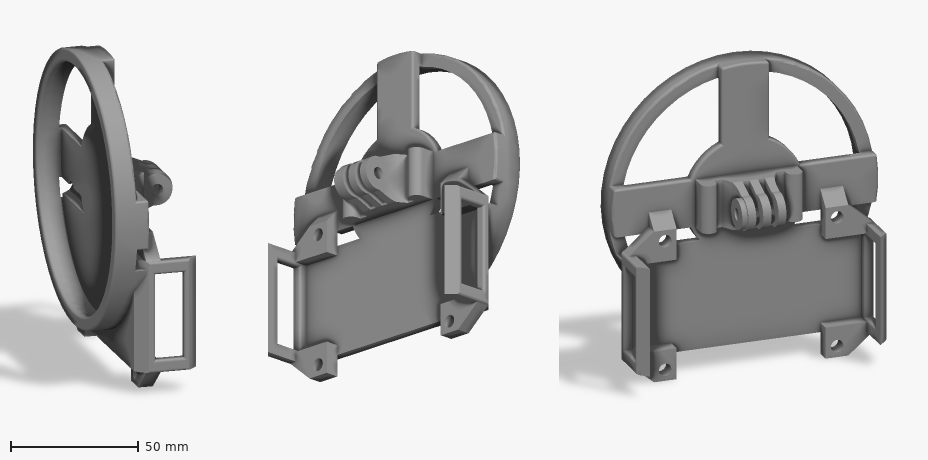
import cadquery as cq
import math


RING_RADIUS = 56.0
BORE_RADIUS = 50.4
RING_DEPTH = 14.0
FLOOR_THICKNESS = 3.9
FLOOR_FRONT = RING_DEPTH - FLOOR_THICKNESS
LEDGE_DEPTH = 9.0
SPOKE_HALF_WIDTH = 10.0
HUB_RADIUS = 25.1
EDGE_RADIUS = 1.0

BOX_HALF_WIDTH = 52.6
BOX_TOP = -16.2
BOX_BOTTOM = -61.7
BOX_HEIGHT = BOX_TOP - BOX_BOTTOM
BOX_CENTER_Z = (BOX_TOP + BOX_BOTTOM) / 2
BEVEL = 4.8
WING_THICKNESS = 4.2
WING_TIP = 35.4
WINDOW_FRONT = 17.5
WINDOW_BACK = 29.4
WINDOW_HEIGHT = 35.1
WALL_SLOT_BOTTOM = -math.sqrt(RING_RADIUS**2 - BOX_HALF_WIDTH**2)

GROOVE_RADIUS = BOX_HALF_WIDTH

TAB_THICKNESS = 6.0
TAB_BACK = RING_DEPTH + TAB_THICKNESS
TAB_HEIGHT = 9.0
TAB_OUTER_X = BOX_HALF_WIDTH - EDGE_RADIUS
TAB_CORNER_X = 40.8
TAB_INNER_X = 31.3
TAB_ROOT = 4.0
SCREW_X = 36.1
SCREW_OFFSET_Z = 27.1
SCREW_HOLE_DIAMETER = 5.2
SCREW_HEAD_RADIUS = 3.8

MOUNT_HALF_HEIGHT = 10.0
BASE_HALF_WIDTH = 21.3
BASE_THICKNESS = 4.0
BASE_BACK = RING_DEPTH + BASE_THICKNESS
RIB_RADIUS = 3.3
RIB_X = BASE_HALF_WIDTH - RIB_RADIUS
RIB_AXIS_Y = 19.9
HINGE_AXIS_Y = 31.0
EAR_RADIUS = 7.0
BOLT_DIAMETER = 5.0
BOSS_DIAMETER = 12.5
BOSS_LENGTH = 2.3
FINGERS_HALF_WIDTH = 8.0
GAP_INNER_X = 1.8
GAP_OUTER_X = 4.7
GAP_FLOOR_Y = 22.5
SHOULDER_Y = 22.5
SHOULDER_RADIUS = 3.2
NECK_Y = 30.3
FOOT_HALF_WIDTH = 11.4
FLARE_START_Y = 27.6

EPS = 0.01


def block(x_min, x_max, y_min, y_max, z_min, z_max):
    """Box between the given limits."""
    size = (x_max - x_min, y_max - y_min, z_max - z_min)
    return cq.Workplane("XY").box(*size, centered=False).translate((x_min, y_min, z_min))


def cylinder_y(radius, y_min, y_max, x=0, z=0):
    """Cylinder along Y."""
    start = cq.Vector(x, y_min, z)
    return cq.Workplane(cq.Solid.makeCylinder(radius, y_max - y_min, start, cq.Vector(0, 1, 0)))


def both_sides(half):
    """A feature on one side together with its mirror image across X = 0."""
    return half.union(half.mirror("YZ"))


def is_rounded_edge(edge):
    """True for the front circle, the edges of the spokes on the outer cylinder and their back edges."""
    points = [edge.positionAt(t) for t in (0, 0.5, 1)]
    middle = points[1]
    on_cylinder = all(abs(math.hypot(p.x, p.z) - RING_RADIUS) < EPS for p in points)
    is_seam = abs(points[0].y - points[2].y) > RING_DEPTH - EPS
    if on_cylinder:
        at_front = middle.y < EPS
        at_spokes = middle.z > -SPOKE_HALF_WIDTH - EPS
        return not is_seam and (at_front or at_spokes)
    at_back = all(p.y > RING_DEPTH - EPS for p in points)
    above_slots = middle.z > -SPOKE_HALF_WIDTH + EPS
    return at_back and above_slots


def make_ring():
    hub = cylinder_y(HUB_RADIUS, 0, RING_DEPTH)
    bore = cylinder_y(BORE_RADIUS, 0, FLOOR_FRONT)
    bore_to_back = cylinder_y(BORE_RADIUS, 0, RING_DEPTH)
    ring = cylinder_y(RING_RADIUS, 0, RING_DEPTH)
    far = RING_RADIUS + 1.3

    opening = block(SPOKE_HALF_WIDTH, far, LEDGE_DEPTH, RING_DEPTH, SPOKE_HALF_WIDTH, far)
    ring = ring.cut(both_sides(opening).cut(hub))

    floor_slot = block(0, far, LEDGE_DEPTH, RING_DEPTH, BOX_TOP, -SPOKE_HALF_WIDTH)
    wall_slot = block(0, far, LEDGE_DEPTH, RING_DEPTH, WALL_SLOT_BOTTOM, -SPOKE_HALF_WIDTH)
    ring = ring.cut(both_sides(floor_slot).cut(hub))
    ring = ring.cut(both_sides(wall_slot).cut(bore_to_back))

    rounded_edges = [edge for edge in ring.edges().vals() if is_rounded_edge(edge)]
    ring = ring.newObject(rounded_edges).fillet(EDGE_RADIUS)

    ring = ring.cut(bore)
    bore_edge = cq.selectors.RadiusNthSelector(0)
    ring = ring.faces("<Y").edges(bore_edge).fillet(EDGE_RADIUS)

    groove = cylinder_y(GROOVE_RADIUS, LEDGE_DEPTH, FLOOR_FRONT)
    return ring.cut(groove.intersect(block(-far, far, LEDGE_DEPTH, FLOOR_FRONT, -far, BOX_TOP)))


def make_wing():
    """Side wall on -X with its share of the front bevel, a bevelled tip and a rounded window."""
    inner_x = WING_THICKNESS - BOX_HALF_WIDTH
    bevel_x = BEVEL - BOX_HALF_WIDTH
    outline = [
        (bevel_x, FLOOR_FRONT),
        (-BOX_HALF_WIDTH, FLOOR_FRONT + BEVEL),
        (-BOX_HALF_WIDTH, WING_TIP - WING_THICKNESS),
        (inner_x, WING_TIP),
        (inner_x, RING_DEPTH),
        (bevel_x, RING_DEPTH),
    ]
    wing = cq.Workplane("XY", origin=(0, 0, BOX_BOTTOM)).polyline(outline).close().extrude(BOX_HEIGHT)
    wing = wing.faces("<X").edges().fillet(EDGE_RADIUS)

    half_height = WINDOW_HEIGHT / 2
    window = block(
        -BOX_HALF_WIDTH, inner_x, WINDOW_FRONT, WINDOW_BACK,
        BOX_CENTER_Z - half_height, BOX_CENTER_Z + half_height,
    )
    wing = wing.cut(window)
    for face in ("<X", ">X[-2]"):
        wing = wing.faces(face).wires(cq.selectors.LengthNthSelector(0)).edges().fillet(EDGE_RADIUS)
    return wing


def make_tab():
    """Upper screw tab on +X, without its hole, with a root behind the box plate."""
    tip_z = BOX_TOP + TAB_HEIGHT
    inside_x = BOX_HALF_WIDTH - WING_THICKNESS
    outline = [(TAB_OUTER_X, BOX_TOP), (TAB_CORNER_X, tip_z), (TAB_INNER_X, tip_z), (TAB_INNER_X, BOX_TOP)]
    tab = cq.Workplane("XZ", origin=(0, TAB_BACK, 0)).polyline(outline).close().extrude(TAB_THICKNESS)
    root = block(TAB_INNER_X, inside_x, RING_DEPTH, TAB_BACK, BOX_TOP - TAB_ROOT, BOX_TOP)
    return tab.union(root)


def make_brace():
    """Wedge at 45 degrees from the tip of an upper tab to the back of the spoke."""
    tip_z = BOX_TOP + TAB_HEIGHT
    outline = [(TAB_BACK, tip_z), (RING_DEPTH, tip_z + TAB_THICKNESS), (RING_DEPTH, tip_z)]
    width = TAB_CORNER_X - TAB_INNER_X
    return cq.Workplane("YZ", origin=(TAB_INNER_X, 0, 0)).polyline(outline).close().extrude(width)


def make_housing():
    housing = make_ring()

    plate_half_width = BOX_HALF_WIDTH - BEVEL
    plate = block(-plate_half_width, plate_half_width, FLOOR_FRONT, RING_DEPTH, BOX_BOTTOM, BOX_TOP)
    housing = housing.union(plate).union(both_sides(make_wing()))

    upper_tab = make_tab()
    lower_tab = upper_tab.mirror("XY", (0, 0, BOX_CENTER_Z))
    housing = housing.union(both_sides(upper_tab.union(make_brace())))
    housing = housing.union(both_sides(lower_tab))

    upper_screw_z = BOX_CENTER_Z + SCREW_OFFSET_Z
    lower_screw_z = BOX_CENTER_Z - SCREW_OFFSET_Z
    for x in (-SCREW_X, SCREW_X):
        for z in (upper_screw_z, lower_screw_z):
            housing = housing.cut(cylinder_y(SCREW_HOLE_DIAMETER / 2, RING_DEPTH, TAB_BACK, x, z))
        head_room = cylinder_y(SCREW_HEAD_RADIUS, FLOOR_FRONT, RING_DEPTH, x, upper_screw_z)
        spoke_only = block(-RING_RADIUS, RING_RADIUS, FLOOR_FRONT, RING_DEPTH, BOX_TOP, 0)
        housing = housing.cut(head_room.intersect(spoke_only))
    return housing


def make_mount_base():
    base = block(
        -BASE_HALF_WIDTH, BASE_HALF_WIDTH, RING_DEPTH, BASE_BACK, -MOUNT_HALF_HEIGHT, MOUNT_HALF_HEIGHT
    )
    return base.faces(">Y").edges("|Z").fillet(EDGE_RADIUS)


def make_rib(side, base):
    """Round-topped rib seated over one end of the base; side is -1 or 1."""
    x = side * RIB_X
    rib = (
        cq.Workplane("XY", origin=(0, 0, -MOUNT_HALF_HEIGHT))
        .moveTo(x - RIB_RADIUS, BASE_BACK - EDGE_RADIUS)
        .lineTo(x - RIB_RADIUS, RIB_AXIS_Y)
        .threePointArc((x, RIB_AXIS_Y + RIB_RADIUS), (x + RIB_RADIUS, RIB_AXIS_Y))
        .lineTo(x + RIB_RADIUS, BASE_BACK - EDGE_RADIUS)
        .close()
        .extrude(2 * MOUNT_HALF_HEIGHT)
    )
    return rib.cut(base)


def make_hinge():
    neck_half_height = math.sqrt(EAR_RADIUS**2 - (HINGE_AXIS_Y - NECK_Y) ** 2)

    foot = (
        cq.Workplane("YZ", origin=(-FOOT_HALF_WIDTH, 0, 0))
        .polyline([
            (BASE_BACK, -MOUNT_HALF_HEIGHT),
            (SHOULDER_Y, -MOUNT_HALF_HEIGHT),
            (NECK_Y, -neck_half_height),
            (NECK_Y, neck_half_height),
            (SHOULDER_Y, MOUNT_HALF_HEIGHT),
            (BASE_BACK, MOUNT_HALF_HEIGHT),
        ])
        .close()
        .extrude(2 * FOOT_HALF_WIDTH)
    )
    shoulder_zone = cq.selectors.BoxSelector(
        (-FOOT_HALF_WIDTH, SHOULDER_Y - EPS, -2 * MOUNT_HALF_HEIGHT),
        (FOOT_HALF_WIDTH, SHOULDER_Y + EPS, 2 * MOUNT_HALF_HEIGHT),
    )
    foot = foot.edges("|X").edges(shoulder_zone).fillet(SHOULDER_RADIUS)
    ear = cq.Workplane("YZ", origin=(-FOOT_HALF_WIDTH, 0, 0)).center(HINGE_AXIS_Y, 0)
    hinge = foot.union(ear.circle(EAR_RADIUS).extrude(2 * FOOT_HALF_WIDTH))

    flare_run = FOOT_HALF_WIDTH - FINGERS_HALF_WIDTH
    flare_rise = FLARE_START_Y - BASE_BACK
    flare_radius = (flare_run**2 + flare_rise**2) / (2 * flare_run)
    flare_x = FINGERS_HALF_WIDTH + flare_radius
    tip_y = HINGE_AXIS_Y + EAR_RADIUS
    for side in (-1, 1):
        beside_fingers = block(
            FINGERS_HALF_WIDTH, FOOT_HALF_WIDTH, FLARE_START_Y, tip_y, -MOUNT_HALF_HEIGHT, MOUNT_HALF_HEIGHT
        )
        flare = cq.Workplane("XY", origin=(flare_x, FLARE_START_Y, -MOUNT_HALF_HEIGHT))
        beside_fingers = beside_fingers.union(flare.circle(flare_radius).extrude(2 * MOUNT_HALF_HEIGHT))
        hinge = hinge.cut(beside_fingers if side > 0 else beside_fingers.mirror("YZ"))

    gap = block(GAP_INNER_X, GAP_OUTER_X, GAP_FLOOR_Y, tip_y, -MOUNT_HALF_HEIGHT, MOUNT_HALF_HEIGHT)
    hinge = hinge.cut(both_sides(gap))

    boss = cq.Workplane("YZ", origin=(FINGERS_HALF_WIDTH, 0, 0)).center(HINGE_AXIS_Y, 0)
    hinge = hinge.union(boss.circle(BOSS_DIAMETER / 2).extrude(BOSS_LENGTH))
    bolt = cq.Workplane("YZ", origin=(-FOOT_HALF_WIDTH, 0, 0)).center(HINGE_AXIS_Y, 0)
    return hinge.cut(bolt.circle(BOLT_DIAMETER / 2).extrude(2 * FOOT_HALF_WIDTH))


housing = make_housing()
mount_base = make_mount_base()
ribs = [make_rib(side, mount_base) for side in (-1, 1)]
hinge = make_hinge()

result = cq.Compound.makeCompound(
    [housing.val(), mount_base.val(), *[rib.val() for rib in ribs], hinge.val()]
)